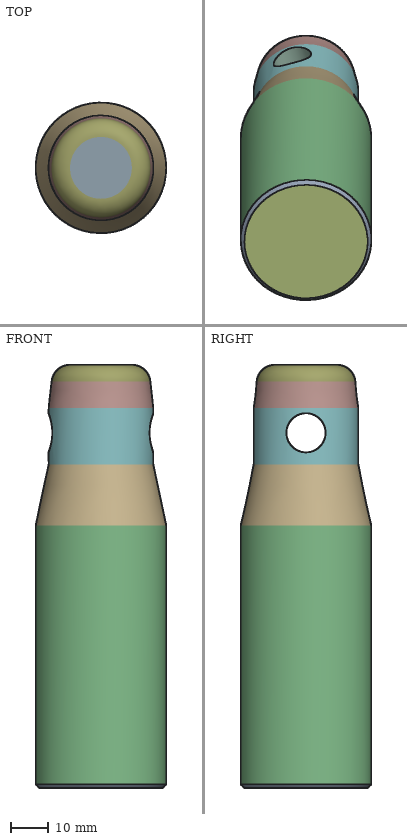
import cadquery as cq
import math

total_height = 113.0
body_radius = 17.46
body_top = 70.1
foot_chamfer = 1.0
neck_radius = 14.0
neck_bottom = 86.3
neck_top = 101.4
head_radius = 13.2
head_top = 108.5
crown_flat_radius = 8.2
hole_diameter = 10.4
hole_height = 94.8


def pin_profile():
    """Half section of the pin, in the XZ plane."""
    arc_width = head_radius - crown_flat_radius
    arc_height = total_height - head_top
    crown_radius = (arc_width**2 + arc_height**2) / (2 * arc_height)
    half_sweep = math.asin(arc_width / crown_radius) / 2
    crown_middle = (
        crown_flat_radius + crown_radius * math.sin(half_sweep),
        total_height - crown_radius * (1 - math.cos(half_sweep)),
    )
    return (
        cq.Workplane("XZ")
        .lineTo(body_radius - foot_chamfer, 0)
        .lineTo(body_radius, foot_chamfer)
        .lineTo(body_radius, body_top)
        .lineTo(neck_radius, neck_bottom)
        .lineTo(neck_radius, neck_top)
        .lineTo(head_radius, head_top)
        .threePointArc(crown_middle, (crown_flat_radius, total_height))
        .lineTo(0, total_height)
        .close()
    )


def cross_hole():
    """Round hole through the neck along X."""
    return (
        cq.Workplane("YZ")
        .center(0, hole_height)
        .circle(hole_diameter / 2)
        .extrude(body_radius, both=True)
    )


pin = pin_profile().revolve(360, (0, 0, 0), (0, 1, 0))
result = pin.cut(cross_hole())